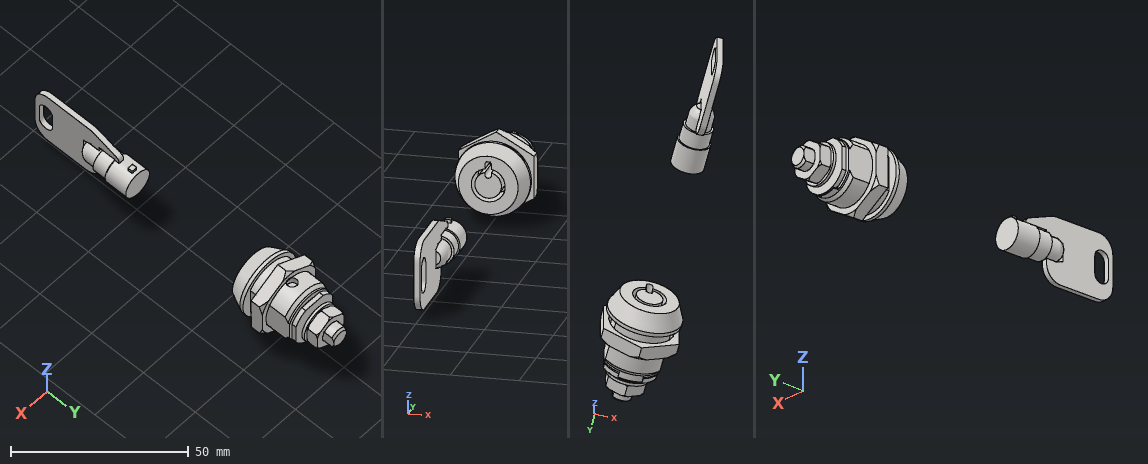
import cadquery as cq
import math


overall_length = 117.1

bezel_radius = 11.0
bezel_face_radius = 8.7
bezel_cone_end = 5.2
bezel_end = 6.3
barrel_radius = 9.5
barrel_width = 15.9
barrel_chamfer_start = 19.8
barrel_chamfer_end = 21.0
barrel_end = 21.5
barrel_rear_radius = 8.7

keyway_outer_radius = 4.9
keyway_inner_radius = 3.9
keyway_depth = 8.1
keyway_notch_width = 1.9
keyway_notch_top = 7.0
keyway_notch_bottom = 2.1

locating_hole_radius = 1.6
locating_hole_y = 15.1
locating_hole_floor = 7.0

neck_radius = 6.7
seat_start = 22.1
seat_end = 23.7
seat_radius = 8.4
seat_flat_distance = 7.6
stop_lug_end = 23.2
stop_lug_inner_radius = 7.8
stop_lug_width = 7.0
stud_radius = 3.4
stud_width = 5.3
stud_end = 33.6
stud_chamfer = 0.7

mounting_nut_width = 2 * bezel_radius
mounting_nut_start = 9.5
mounting_nut_end = 13.8
mounting_nut_chamfer = 1.2

cam_nut_width = 11.0
cam_nut_flange_radius = 6.5
cam_nut_flange_start = 24.9
cam_nut_flange_end = 25.9
cam_nut_end = 30.0
cam_nut_chamfer = 0.53

key_tip = -44.6
key_tube_end = key_tip - keyway_depth
key_tube_radius = keyway_outer_radius
key_collar_end = -57.7
key_collar_radius = 4.5
key_shank_end = -61.6
key_shank_radius = 3.7
key_dome_end = -64.0
key_dome_face_radius = 2.1
key_lug_start = -45.9
key_lug_length = 1.6
key_lug_top = 5.9

blade_thickness = keyway_notch_width
blade_half_height = 10.4
blade_corner_radius = 5.3
blade_end = stud_end - overall_length
blade_lower_start = -58.7
blade_arm_start = -50.9
blade_arm_height = 6.5
blade_arm_radius = 1.8
blade_slope_end = -61.5
blade_slope_radius = 5.9
collar_slot_top = 5.2
shank_slot_half_height = 3.6
shank_slot_taper_start = -62.4
shank_slot_end = -64.8
shank_slot_end_half_height = 2.8
ring_hole_width = 5.0
ring_hole_height = 10.3
ring_hole_y = -79.3


def turned(points):
    """A solid turned around the Y axis from a closed outline of (radius, y) points."""
    return cq.Workplane("XY").polyline(points).close().revolve(360, (0, 0, 0), (0, 1, 0))


def cylinder(radius, start, end):
    """A solid cylinder on the Y axis."""
    return turned([(0, start), (radius, start), (radius, end), (0, end)])


def block(x_range, y_range, z_range):
    """A rectangular block between the given limits."""
    (x0, x1), (y0, y1), (z0, z1) = x_range, y_range, z_range
    return cq.Workplane("XY").box(x1 - x0, y1 - y0, z1 - z0, centered=False).translate((x0, y0, z0))


def side_flats(solid, width, start, end, height):
    """Trims a solid to the given width in X, leaving a flat on each side."""
    return solid.intersect(block((-width / 2, width / 2), (start, end), (-height, height)))


def corner_radius(hexagon_width):
    """The distance from the axis to the corners of a hexagon."""
    return hexagon_width / 2 / math.cos(math.pi / 6)


def hexagon(width, start, end):
    """A hexagonal prism along Y with two flats facing +X and -X."""
    prism = cq.Workplane("XZ").polygon(6, 2 * corner_radius(width)).extrude(start - end)
    return prism.rotate((0, 0, 0), (0, 1, 0), 90).translate((0, start, 0))


def turned_corners(nut, width, far_end, chamfered_end, chamfer):
    """Turns the corners of a hexagonal nut down to a 45 degree cone at one end."""
    face_radius = corner_radius(width) - chamfer
    cone = turned([
        (0, chamfered_end),
        (face_radius, chamfered_end),
        (face_radius + abs(far_end - chamfered_end), far_end),
        (0, far_end),
    ])
    return nut.intersect(cone)


def barrel():
    """The threaded barrel with its conical bezel and side flats."""
    bezel = turned([
        (0, 0),
        (bezel_face_radius, 0),
        (bezel_radius, bezel_cone_end),
        (bezel_radius, bezel_end),
        (0, bezel_end),
    ])
    thread = turned([
        (0, bezel_end),
        (barrel_radius, bezel_end),
        (barrel_radius, barrel_chamfer_start),
        (barrel_rear_radius, barrel_chamfer_end),
        (barrel_rear_radius, barrel_end),
        (0, barrel_end),
    ])
    return bezel.union(side_flats(thread, barrel_width, bezel_end, barrel_end, barrel_radius))


def keyway():
    """The ring groove and the round-ended radial notch that take the key."""
    groove = cylinder(keyway_outer_radius, 0, keyway_depth)
    groove = groove.cut(cylinder(keyway_inner_radius, 0, keyway_depth))
    notch = (
        cq.Workplane("XZ")
        .center(0, (keyway_notch_top + keyway_notch_bottom) / 2)
        .slot2D(keyway_notch_top - keyway_notch_bottom, keyway_notch_width, 90)
        .extrude(-keyway_depth)
    )
    return groove.union(notch)


def locating_hole():
    """The blind hole in the top of the barrel."""
    hole = cq.Workplane("XY").circle(locating_hole_radius).extrude(barrel_radius - locating_hole_floor)
    return hole.translate((0, locating_hole_y, locating_hole_floor))


def cam_seat():
    """The disc behind the barrel, on a narrower neck, with flats on the top and both sides."""
    disc = cylinder(seat_radius, seat_start, seat_end)
    trim = block(
        (-seat_flat_distance, seat_flat_distance),
        (seat_start, seat_end),
        (-seat_radius, seat_flat_distance),
    )
    return cylinder(neck_radius, barrel_end, seat_start).union(disc.intersect(trim))


def stop_lug():
    """The curved lug that runs back from the bottom of the barrel rim."""
    rim = cylinder(barrel_rear_radius, barrel_end, stop_lug_end)
    rim = rim.cut(cylinder(stop_lug_inner_radius, barrel_end, stop_lug_end))
    half_width = stop_lug_width / 2
    return rim.intersect(
        block((-half_width, half_width), (barrel_end, stop_lug_end), (-barrel_rear_radius, 0))
    )


def stud(start):
    """The stud that carries the cam nut, with side flats and a chamfered end."""
    rod = turned([
        (0, start),
        (stud_radius, start),
        (stud_radius, stud_end - stud_chamfer),
        (stud_radius - stud_chamfer, stud_end),
        (0, stud_end),
    ])
    return side_flats(rod, stud_width, start, stud_end, stud_radius)


def make_lock():
    """The lock: barrel, keyway, locating hole, cam seat, stop lug and stud."""
    solid = barrel().cut(keyway()).cut(locating_hole())
    return solid.union(cam_seat()).union(stop_lug()).union(stud(seat_end))


def make_mounting_nut():
    """The hexagonal nut on the barrel, bored round and chamfered at the rear."""
    nut = hexagon(mounting_nut_width, mounting_nut_start, mounting_nut_end)
    nut = turned_corners(
        nut, mounting_nut_width, mounting_nut_start, mounting_nut_end, mounting_nut_chamfer
    )
    return nut.cut(cylinder(barrel_radius, mounting_nut_start, mounting_nut_end))


def make_cam_nut():
    """The flanged nut on the stud, bored round and chamfered at both ends of its hexagon."""
    head = hexagon(cam_nut_width, cam_nut_flange_end, cam_nut_end)
    head = turned_corners(head, cam_nut_width, cam_nut_flange_end, cam_nut_end, cam_nut_chamfer)
    head = turned_corners(head, cam_nut_width, cam_nut_end, cam_nut_flange_end, cam_nut_chamfer)
    flange = cylinder(cam_nut_flange_radius, cam_nut_flange_start, cam_nut_flange_end)
    return flange.union(head).cut(cylinder(stud_radius, cam_nut_flange_start, cam_nut_end))


def key_stem():
    """The stepped round stem with its domed rear end and the locating lug."""
    dome_length = key_shank_end - key_dome_end
    centre_offset = (
        key_shank_radius**2 - key_dome_face_radius**2 - dome_length**2
    ) / (2 * dome_length)
    dome_radius = math.hypot(key_shank_radius, centre_offset)
    dome_middle_y = (key_shank_end + key_dome_end) / 2
    dome_middle_radius = math.sqrt(dome_radius**2 - (centre_offset + dome_length / 2) ** 2)
    stem = (
        cq.Workplane("XY")
        .moveTo(0, key_tip)
        .lineTo(key_tube_radius, key_tip)
        .lineTo(key_tube_radius, key_tube_end)
        .lineTo(key_collar_radius, key_tube_end)
        .lineTo(key_collar_radius, key_collar_end)
        .lineTo(key_shank_radius, key_collar_end)
        .lineTo(key_shank_radius, key_shank_end)
        .threePointArc((dome_middle_radius, dome_middle_y), (key_dome_face_radius, key_dome_end))
        .lineTo(0, key_dome_end)
        .close()
        .revolve(360, (0, 0, 0), (0, 1, 0))
    )
    lug = block(
        (-blade_thickness / 2, blade_thickness / 2),
        (key_lug_start - key_lug_length, key_lug_start),
        (0, key_lug_top),
    )
    return stem.union(lug)


def plate(outline):
    """A plate of blade thickness, centred on X = 0, from a closed outline of (y, z) points."""
    return cq.Workplane("YZ").polyline(outline).close().extrude(blade_thickness / 2, both=True)


def round_corner(solid, y, z, radius):
    """Rounds the edge of a plate that runs through the point (y, z)."""
    return solid.edges(cq.selectors.NearestToPointSelector((0, y, z))).fillet(radius)


def key_blade():
    """The flat grip, with an arm along the top of the stem, a slot for it and a key-ring hole."""
    blade = plate([
        (blade_end, -blade_half_height),
        (blade_lower_start, -blade_half_height),
        (blade_lower_start, 0),
        (blade_arm_start, 0),
        (blade_arm_start, blade_arm_height),
        (blade_slope_end, blade_half_height),
        (blade_end, blade_half_height),
    ])
    for y, z, radius in [
        (blade_end, -blade_half_height, blade_corner_radius),
        (blade_end, blade_half_height, blade_corner_radius),
        (blade_lower_start, -blade_half_height, blade_corner_radius),
        (blade_slope_end, blade_half_height, blade_slope_radius),
        (blade_arm_start, blade_arm_height, blade_arm_radius),
    ]:
        blade = round_corner(blade, y, z, radius)

    collar_slot = plate([
        (key_tube_end, 0),
        (key_tube_end, collar_slot_top),
        (blade_lower_start, collar_slot_top),
        (blade_lower_start, 0),
    ])
    shank_slot = plate([
        (blade_lower_start, -shank_slot_half_height),
        (blade_lower_start, shank_slot_half_height),
        (shank_slot_taper_start, shank_slot_half_height),
        (shank_slot_end, shank_slot_end_half_height),
        (shank_slot_end, -shank_slot_end_half_height),
        (shank_slot_taper_start, -shank_slot_half_height),
    ])
    ring_hole = (
        cq.Workplane("YZ")
        .center(ring_hole_y, 0)
        .slot2D(ring_hole_height, ring_hole_width, 90)
        .extrude(blade_thickness / 2, both=True)
    )
    return blade.cut(collar_slot).cut(shank_slot).cut(ring_hole)


def make_key():
    """The key: stem and blade in one piece."""
    return key_stem().union(key_blade())


lock = make_lock()
mounting_nut = make_mounting_nut()
cam_nut = make_cam_nut()
key = make_key()

result = cq.Compound.makeCompound([lock.val(), mounting_nut.val(), cam_nut.val(), key.val()])